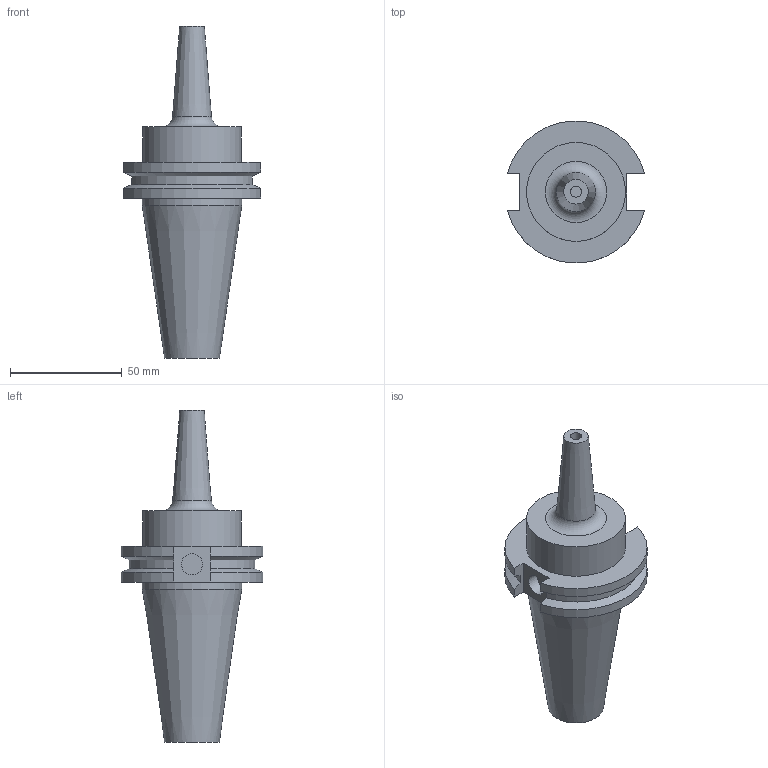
import cadquery as cq
import math

gauge_radius = 44.45 / 2

shank_length = 68.25
taper_per_length = 7 / 24
shank_end_radius = gauge_radius - shank_length * taper_per_length / 2

flange_radius = 63.5 / 2
flange_bottom = 3.175
flange_top = 19.05
flange_middle = (flange_bottom + flange_top) / 2
groove_radius = 56.3 / 2
groove_half_floor = 3.9 / 2
groove_half_mouth = 7.2 / 2

slot_width = 16.38
slot_floor_left = 25.15
slot_floor_right = 22.6

side_hole_diameter = 9.5
side_hole_depth = 5.3

collar_radius = 44.2 / 2
collar_top = 35.0
nose_top = 80.0
nose_tip_radius = 5.5
nose_half_angle = math.radians(4.5)
nose_fillet = 5.0

bore_diameter = 5.0
bore_depth = 30.0


def turned_body():
    """Revolved body: shank, grooved flange, collar and filleted nose."""
    fillet_center_z = collar_top + nose_fillet
    nose_base_z = fillet_center_z - nose_fillet * math.sin(nose_half_angle)
    nose_base_radius = nose_tip_radius + (nose_top - nose_base_z) * math.tan(nose_half_angle)
    fillet_center_radius = nose_base_radius + nose_fillet * math.cos(nose_half_angle)
    mid_angle = (math.pi / 2 + nose_half_angle) / 2
    fillet_middle = (
        fillet_center_radius - nose_fillet * math.cos(mid_angle),
        fillet_center_z - nose_fillet * math.sin(mid_angle),
    )
    return (
        cq.Workplane("XZ")
        .moveTo(0, -shank_length)
        .lineTo(shank_end_radius, -shank_length)
        .lineTo(gauge_radius, 0)
        .lineTo(gauge_radius, flange_bottom)
        .lineTo(flange_radius, flange_bottom)
        .lineTo(flange_radius, flange_middle - groove_half_mouth)
        .lineTo(groove_radius, flange_middle - groove_half_floor)
        .lineTo(groove_radius, flange_middle + groove_half_floor)
        .lineTo(flange_radius, flange_middle + groove_half_mouth)
        .lineTo(flange_radius, flange_top)
        .lineTo(collar_radius, flange_top)
        .lineTo(collar_radius, collar_top)
        .lineTo(fillet_center_radius, collar_top)
        .threePointArc(fillet_middle, (nose_base_radius, nose_base_z))
        .lineTo(nose_tip_radius, nose_top)
        .lineTo(0, nose_top)
        .close()
        .revolve(360, (0, 0, 0), (0, 1, 0))
    )


def drive_slot(side, floor_distance):
    """Block that clears one slot through the flange; side is -1 or +1 along X."""
    depth = flange_radius - floor_distance
    return cq.Workplane("XY").box(depth, slot_width, flange_top - flange_bottom).translate(
        (side * (floor_distance + depth / 2), 0, flange_middle)
    )


def side_hole():
    """Radial blind hole entering from the left slot floor."""
    return (
        cq.Workplane("YZ", origin=(-slot_floor_left, 0, flange_middle))
        .circle(side_hole_diameter / 2)
        .extrude(side_hole_depth)
    )


def tool_bore():
    """Axial blind bore from the nose tip."""
    return (
        cq.Workplane("XY", origin=(0, 0, nose_top))
        .circle(bore_diameter / 2)
        .extrude(-bore_depth)
    )


result = (
    turned_body()
    .cut(drive_slot(-1, slot_floor_left))
    .cut(drive_slot(1, slot_floor_right))
    .cut(side_hole())
    .cut(tool_bore())
)